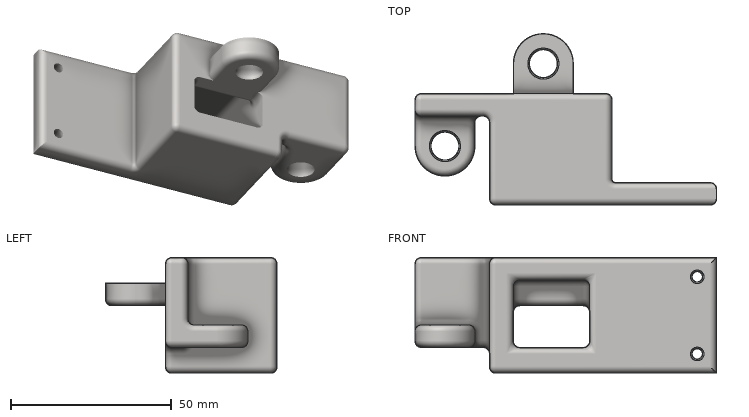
import cadquery as cq

total_length = 93.84
total_depth = 53.36
height = 36.0
wall = 7.0
edge_radius = 2.0

eye_hole = 8.66
eye_rim = 5.0
eye_radius = eye_hole / 2 + eye_rim
lug_length = 2 * eye_radius
hole_break = 0.5

box_left = 23.2
box_right = 61.35
box_depth = total_depth - lug_length

plate_bottom = 8.0
plate_front = box_depth - wall
front_lug_x = eye_radius

back_lug_x = 39.95
back_lug_bottom = 21.0

window_left = back_lug_x - eye_radius
window_right = box_right - wall
window_bottom = 8.0
window_top = height - wall
hanging_wall_front = box_depth - wall
hanging_wall_bottom = back_lug_bottom

flange_corner_radius = 1.0
screw_hole = 3.2
screw_edge_distance = 6.0

TOLERANCE = 0.01


def block(x_range, y_range, z_range):
    """Box between two limits along each axis."""
    sizes = [high - low for low, high in (x_range, y_range, z_range)]
    corner = (x_range[0], y_range[0], z_range[0])
    return cq.Workplane("XY").box(*sizes, centered=False).translate(corner)


def near(a, b):
    return abs(a - b) < TOLERANCE


def fillet_edges(body, radius, wanted):
    """Round the edges whose bounding box passes the test `wanted`."""
    edges = [edge for edge in body.edges().vals() if wanted(edge.BoundingBox())]
    return body.newObject(edges).fillet(radius)


def lug(center_x, base_y, direction, bottom):
    """Lug blank standing on the plane Y = base_y and pointing along +Y or -Y."""
    eye_y = base_y + direction * eye_radius
    return (
        cq.Workplane("XY", origin=(0, 0, bottom))
        .moveTo(center_x - eye_radius, base_y)
        .lineTo(center_x - eye_radius, eye_y)
        .threePointArc((center_x, eye_y + direction * eye_radius), (center_x + eye_radius, eye_y))
        .lineTo(center_x + eye_radius, base_y)
        .close()
        .extrude(wall)
    )


def is_flange_corner(box):
    """Upright inner corner between the box and the flange."""
    return near(box.xmin, box_right) and near(box.xmax, box_right) and near(box.ymax, wall)


def is_outer_edge(box):
    """Every edge but the short ones across the flange end and the uprights of the flange corner."""
    across_flange_end = near(box.xmin, total_length) and box.ylen > TOLERANCE
    upright = box.zlen > height / 2
    at_flange_corner = upright and near(box.ymax, wall) and box.xmax < total_length - TOLERANCE
    at_corner_start = (
        upright and near(box.xmin, box_right) and near(box.ymax, wall + flange_corner_radius)
    )
    return not (across_flange_end or at_flange_corner or at_corner_start)


def rounded_body():
    """Box, flange, plate and front lug, rounded inside and out."""
    body = block((box_left, box_right), (0, box_depth), (0, height))
    body = body.union(block((box_left, total_length), (0, wall), (0, height)))
    body = body.union(block((0, box_right), (plate_front, box_depth), (plate_bottom, height)))
    body = body.union(lug(front_lug_x, plate_front, -1, plate_bottom)).clean()
    body = fillet_edges(body, flange_corner_radius, is_flange_corner)
    return fillet_edges(body, edge_radius, is_outer_edge)


def is_in_window(box):
    """Edges within the outline of the window opening."""
    inside_x = box.xmin > window_left - TOLERANCE and box.xmax < window_right + TOLERANCE
    inside_z = box.zmin > window_bottom - TOLERANCE and box.zmax < window_top + TOLERANCE
    return inside_x and inside_z


def cut_window(body):
    """Window with its mouth rounded first, so that the mouth keeps square corners."""
    x_range = (window_left, window_right)
    body = body.cut(block(x_range, (0, box_depth), (window_bottom, hanging_wall_bottom)))
    body = body.cut(block(x_range, (0, hanging_wall_front), (window_bottom, window_top)))

    def is_mouth_edge(box):
        return is_in_window(box) and near(box.ymax, 0)

    def is_inner_edge(box):
        return is_in_window(box) and box.ymax > edge_radius + TOLERANCE and not near(box.ymin, box_depth)

    body = fillet_edges(body, edge_radius, is_mouth_edge)
    return fillet_edges(body, edge_radius, is_inner_edge)


def back_lug():
    """Lug with a rounded lower rim; its base stays sharp where it meets the box."""
    blank = lug(back_lug_x, box_depth, 1, back_lug_bottom)

    def is_lower_rim(box):
        return near(box.zmax, back_lug_bottom) and box.ymax > box_depth + TOLERANCE

    return fillet_edges(blank, edge_radius, is_lower_rim)


def hole_cutter(diameter, depth):
    """Cutter reaching down from Z = 0 for a hole with a broken upper edge."""
    shaft = cq.Workplane("XY").circle(diameter / 2).extrude(-depth)
    cone = cq.Workplane("XY").circle(diameter / 2 + hole_break).workplane(offset=-hole_break)
    return shaft.union(cone.circle(diameter / 2).loft())


def drill_eye(body, center_x, center_y, bottom):
    return body.cut(hole_cutter(eye_hole, wall).translate((center_x, center_y, bottom + wall)))


def drill_screw_holes(body):
    cutter = hole_cutter(screw_hole, wall).rotate((0, 0, 0), (1, 0, 0), 90)
    for z in (screw_edge_distance, height - screw_edge_distance):
        body = body.cut(cutter.translate((total_length - screw_edge_distance, 0, z)))
    return body


part = cut_window(rounded_body())
part = part.union(back_lug())
part = drill_eye(part, front_lug_x, plate_front - eye_radius, plate_bottom)
part = drill_eye(part, back_lug_x, box_depth + eye_radius, back_lug_bottom)
result = drill_screw_holes(part)